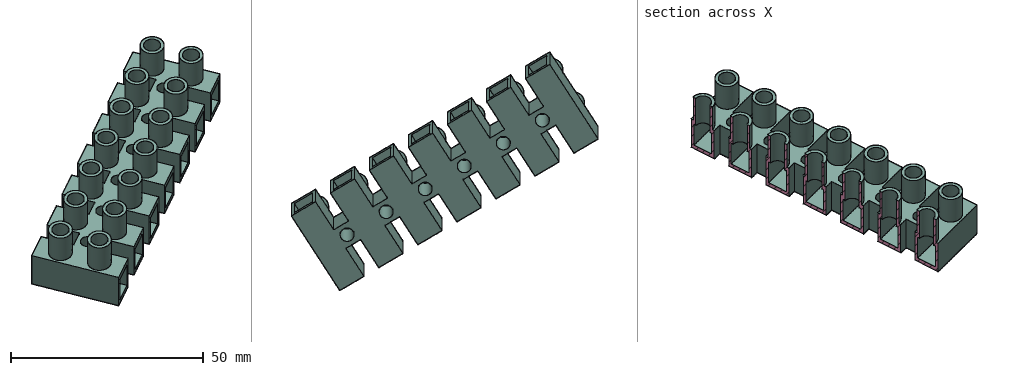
import cadquery as cq

pole_count = 7
total_length = 78.85
block_width = 24.0
block_length = 7.4
body_height = 10.5
total_height = 18.8
spine_width = 6.0
pole_pitch = (total_length - block_length) / (pole_count - 1)

channel_length = 5.5
channel_height = 7.4
channel_floor = 1.4

tower_spacing = 10.7
tower_diameter = 6.2
tower_bore_diameter = 4.4

mounting_hole_diameter = 3.6


def row_positions(count):
    """Y positions of items at the pole pitch, centred on the origin."""
    return [(index - (count - 1) / 2) * pole_pitch for index in range(count)]


def box_from(width, length, height, bottom):
    """Box centred in X and Y, standing on the given Z level."""
    return cq.Workplane("XY", origin=(0, 0, bottom)).rect(width, length).extrude(height)


def vertical_cylinders(points, diameter, bottom, top):
    """Upright cylinders at the given (x, y) points."""
    base = cq.Workplane("XY", origin=(0, 0, bottom))
    return base.pushPoints(points).circle(diameter / 2).extrude(top - bottom)


block_positions = row_positions(pole_count)
tower_points = [(side * tower_spacing / 2, y) for y in block_positions for side in (-1, 1)]
mounting_points = [(0, y) for y in row_positions(pole_count - 1)]

body = box_from(spine_width, total_length, body_height, 0)
for y in block_positions:
    body = body.union(box_from(block_width, block_length, body_height, 0).translate((0, y, 0)))

body = body.union(vertical_cylinders(tower_points, tower_diameter, body_height, total_height))

for y in block_positions:
    channel = box_from(block_width, channel_length, channel_height, channel_floor)
    body = body.cut(channel.translate((0, y, 0)))

bore_bottom = channel_floor + channel_height / 2
body = body.cut(vertical_cylinders(tower_points, tower_bore_diameter, bore_bottom, total_height))

body = body.cut(vertical_cylinders(mounting_points, mounting_hole_diameter, 0, body_height))

result = body